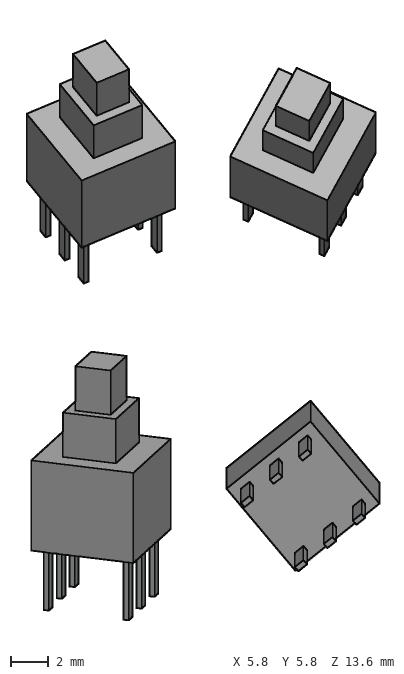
import cadquery as cq

body_side = 5.8
body_height = 5.1

collar_x = 3.58
collar_y = 3.0
plunger_x = 2.5
plunger_y = 2.0
step_height = 2.5

pin_x = 0.6
pin_y = 0.3
pin_length = 3.5
pin_pitch = 2.0
pin_row_spacing = 4.53
pin_columns = 3
pin_rows = 2


def block(size_x, size_y, height, base_z):
    """Box centred on the Z axis, standing on the height base_z."""
    base = cq.Workplane("XY").workplane(offset=base_z)
    return base.rect(size_x, size_y).extrude(height)


body_top = body_height
collar_top = body_top + step_height

body = block(body_side, body_side, body_height, 0)
collar = block(collar_x, collar_y, step_height, body_top)
plunger = block(plunger_x, plunger_y, step_height, collar_top)

pins = (
    cq.Workplane("XY")
    .rarray(pin_pitch, pin_row_spacing, pin_columns, pin_rows)
    .rect(pin_x, pin_y)
    .extrude(-pin_length)
)

result = body.union(collar).union(plunger).union(pins)